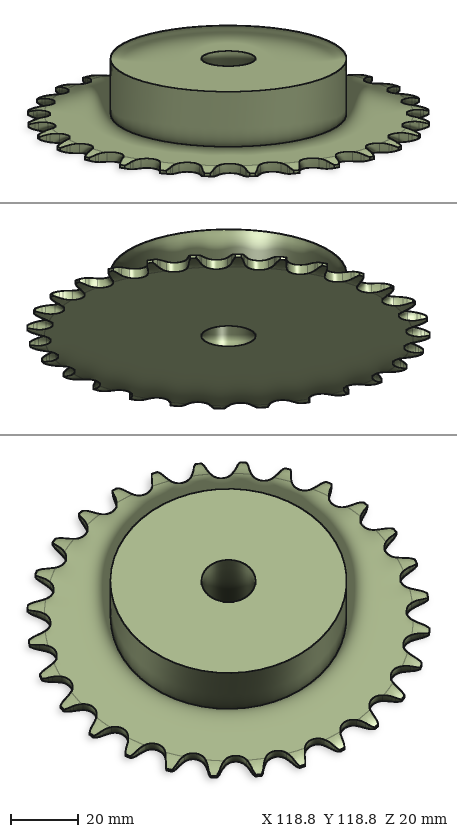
import cadquery as cq
import math

TOOTH_COUNT = 28
TIP_RADIUS = 119.4 / 2
PITCH_RADIUS = 113.4 / 2
PLATE_THICKNESS = 3.0

SEAT_RADIUS = 3.9
SEAT_HALF_ANGLE = 53.0
WORKING_RADIUS = 10.1
WORKING_ANGLE = 16.0
FLANK_LENGTH = 1.1
TOPPING_RADIUS = 6.3
GAP_OVERRUN = 0.6

RELIEF_START_RADIUS = 54.7
RELIEF_ARC_RADIUS = 13.0

HUB_DIAMETER = 70.0
BORE_DIAMETER = 16.0
OVERALL_HEIGHT = 20.0


def relief_drop(distance):
    """Depth of the relief arc below the plate face, at a distance past its start."""
    return RELIEF_ARC_RADIUS - math.sqrt(RELIEF_ARC_RADIUS**2 - distance**2)


def tooth_blank():
    """Revolved disc whose rim narrows along arcs tangent to both plate faces."""
    reach = TIP_RADIUS - RELIEF_START_RADIUS
    tip_drop = relief_drop(reach)
    middle_radius = RELIEF_START_RADIUS + reach / 2
    middle_drop = relief_drop(reach / 2)
    return (
        cq.Workplane("XZ")
        .lineTo(RELIEF_START_RADIUS, 0)
        .threePointArc((middle_radius, middle_drop), (TIP_RADIUS, tip_drop))
        .lineTo(TIP_RADIUS, PLATE_THICKNESS - tip_drop)
        .threePointArc(
            (middle_radius, PLATE_THICKNESS - middle_drop),
            (RELIEF_START_RADIUS, PLATE_THICKNESS),
        )
        .lineTo(0, PLATE_THICKNESS)
        .close()
        .revolve(360, (0, 0, 0), (0, 1, 0))
    )


def point_at(centre, radius, angle):
    return centre[0] + radius * math.cos(angle), centre[1] + radius * math.sin(angle)


def mirrored(point):
    return point[0], -point[1]


def gap_cutter():
    """One tooth gap centred on the +X axis, with every curve tangent to the next."""
    seat_end_angle = math.pi - math.radians(SEAT_HALF_ANGLE)
    flank_angle = seat_end_angle - math.radians(WORKING_ANGLE)
    working_mid_angle = (seat_end_angle + flank_angle) / 2

    seat_bottom = (PITCH_RADIUS - SEAT_RADIUS, 0)
    seat_end = point_at((PITCH_RADIUS, 0), SEAT_RADIUS, seat_end_angle)

    working_centre = point_at(seat_end, -WORKING_RADIUS, seat_end_angle)
    working_mid = point_at(working_centre, WORKING_RADIUS, working_mid_angle)
    working_end = point_at(working_centre, WORKING_RADIUS, flank_angle)

    flank_end = point_at(working_end, FLANK_LENGTH, flank_angle - math.pi / 2)

    topping_centre = point_at(flank_end, TOPPING_RADIUS, flank_angle)
    outer_x = TIP_RADIUS + GAP_OVERRUN
    topping_end_angle = -math.acos((outer_x - topping_centre[0]) / TOPPING_RADIUS)
    topping_mid_angle = (flank_angle - math.pi + topping_end_angle) / 2
    topping_mid = point_at(topping_centre, TOPPING_RADIUS, topping_mid_angle)
    topping_end = point_at(topping_centre, TOPPING_RADIUS, topping_end_angle)

    return (
        cq.Workplane("XY")
        .moveTo(*mirrored(topping_end))
        .threePointArc(mirrored(topping_mid), mirrored(flank_end))
        .lineTo(*mirrored(working_end))
        .threePointArc(mirrored(working_mid), mirrored(seat_end))
        .threePointArc(seat_bottom, seat_end)
        .threePointArc(working_mid, working_end)
        .lineTo(*flank_end)
        .threePointArc(topping_mid, topping_end)
        .close()
        .extrude(PLATE_THICKNESS)
    )


def toothed_plate():
    plate = tooth_blank()
    cutter = gap_cutter()
    for index in range(TOOTH_COUNT):
        angle = index * 360 / TOOTH_COUNT
        plate = plate.cut(cutter.rotate((0, 0, 0), (0, 0, 1), angle))
    return plate


hub = cq.Workplane("XY").circle(HUB_DIAMETER / 2).extrude(OVERALL_HEIGHT)
bore = cq.Workplane("XY").circle(BORE_DIAMETER / 2).extrude(OVERALL_HEIGHT)

result = toothed_plate().union(hub).cut(bore)